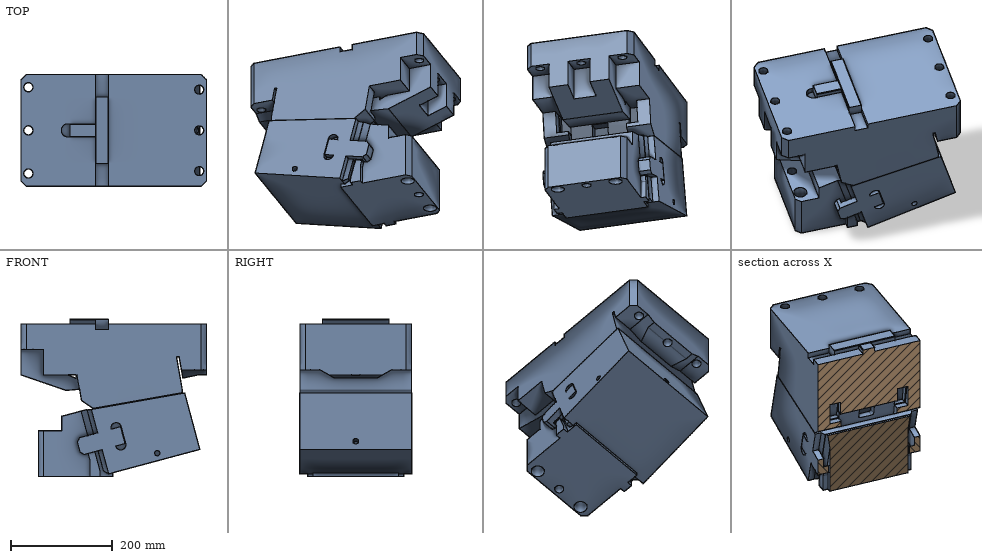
import cadquery as cq
import math


holder_tilt = math.radians(10)
slide_tilt = math.radians(15)
length = 365.0
holder_width = 219.7
plate_top = 300.0

corner_cut = 11.0
step_x, step_z = 45.0, 250.0
plate_bottom = 199.5
leg_x = 110.2
leg_knee_z = 149.3
sole_front_x, sole_front_z = 142.0, 133.5
sole_rear_x = 317.0
heel_cut = 5.5
slit_x, slit_top, slit_width = 306.0, 235.0, 4.7
rear_flank_z = 209.5
rear_rim = 40.0
flank_slope = math.radians(30)
rear_flat_x = 348.5
nose_width = 123.5
nose_low_x, nose_low_z = 89.0, 169.0
nose_end_x, nose_end_z = 138.7, 173.5
nose_slot_width, nose_slot_depth = 45.3, 39.0
window_front_x, window_rear_x, window_drop = 93.0, 108.0, 6.5
recess_depth = 20.0
recess_width = 119.7
recess_top = 171.5
pocket_width = 167.0
pocket_bottom = 156.5
pocket_wall = 2.2
pocket_step_depth = 11.0
spring_width, spring_bottom, spring_depth = 32.0, 144.5, 14.5
spring_corner = 4.0
hole_radius = 8.8
front_hole_x, front_hole_pitch = 15.0, 84.5
rear_hole_x, rear_hole_pitch = 350.0, 80.0

keyway_x, keyway_width, keyway_depth = 146.7, 26.0, 11.0
key_rise = 9.0
key_length = 130.5
key_bevel = 1.28
arm_front_x = 96.5
arm_slot_front_x = 79.5

slide_x, slide_z = 170.5, 4.7
slide_length = 187.5
slide_width = 220.0
cheek_thickness = 12.8
cheek_front = 2.2
core_front = -6.2
core_corner = 5.0
hook_front, hook_low, hook_high = -41.0, 49.3, 83.5
hook_bevel = 6.5
hook_lip_length, hook_lip_half = 12.8, 86.5
sole_gap = 0.7
cheek_slot_u, cheek_slot_radius = 39.8, 10.2
cheek_slot_gap = 1.5
cheek_hole_u, cheek_hole_v, cheek_hole_radius, cheek_hole_depth = 104.8, 14.5, 5.0, 14.5
rear_hole_v, slide_rear_hole_radius, slide_rear_hole_depth = 16.8, 5.5, 22.0

driver_x = 34.5
driver_width = 168.5
driver_corner = 10.0
ledge_x, ledge_z = 80.3, 90.0
brow_z = 118.5
rail_overhang = 7.0
foot_width = 189.0
rail_front = -18.2
foot_x, foot_end_x = 135.5, 180.5
foot_wide_x = 156.0
foot_front, foot_rear = -26.3, -12.8
bolt_x, bolt_pitch = 49.3, 59.5
bolt_radius, dowel_radius = 12.8, 8.8


def side_profile(points, width):
    """Extrude an X-Z outline evenly to both sides of Y = 0."""
    return cq.Workplane("XZ").polyline(points).close().extrude(width / 2, both=True)


def block(x0, x1, width, z0, z1):
    """Box centred on Y = 0."""
    box = cq.Workplane("XY").box(x1 - x0, width, z1 - z0, centered=(False, True, False))
    return box.translate((x0, 0, z0))


def slide_plane(y=0.0):
    """Tilted frame at the slide's lower front corner, facing -Y."""
    along = (math.cos(slide_tilt), 0, math.sin(slide_tilt))
    return cq.Workplane(cq.Plane(origin=(slide_x, y, slide_z), xDir=along, normal=(0, -1, 0)))


def slide_point(u, v):
    """X and Z of a point given along (u) and across (v) the slide tilt."""
    x = slide_x + u * math.cos(slide_tilt) - v * math.sin(slide_tilt)
    z = slide_z + u * math.sin(slide_tilt) + v * math.cos(slide_tilt)
    return x, z


def slide_uv(x, z):
    """Distances along (u) and across (v) the slide tilt of an X-Z point."""
    dx = x - slide_x
    dz = z - slide_z
    u = dx * math.cos(slide_tilt) + dz * math.sin(slide_tilt)
    v = dz * math.cos(slide_tilt) - dx * math.sin(slide_tilt)
    return u, v


def slide_cross_plane(v):
    """Frame across the slide at height v: local x runs along the tilt, local y along Y."""
    x, z = slide_point(0, v)
    along = (math.cos(slide_tilt), 0, math.sin(slide_tilt))
    upward = (-math.sin(slide_tilt), 0, math.cos(slide_tilt))
    return cq.Workplane(cq.Plane(origin=(x, 0, z), xDir=along, normal=upward))


def mirrored(shape):
    """The shape together with its mirror image across Y = 0."""
    return shape.union(shape.mirror("XZ"))


def holes(x, y_places, radius, z_top, depth):
    """Vertical holes going down from z_top."""
    places = [(x, y) for y in y_places]
    return cq.Workplane("XY", origin=(0, 0, z_top)).pushPoints(places).circle(radius).extrude(-depth)


def leg_front_x(z):
    """X of the tilted front of the leg at height z."""
    return leg_x + (plate_bottom - z) * math.tan(holder_tilt)


def slit_front_x(z):
    """X of the tilted front wall of the rear slit at height z."""
    return slit_x + (slit_top - z) * math.tan(holder_tilt)


def make_holder_body():
    sole_rear_z = sole_front_z + (sole_rear_x - sole_front_x) * math.tan(holder_tilt)
    heel_z = sole_rear_z + heel_cut
    rear_low_z = plate_bottom - (rear_flat_x - slit_front_x(plate_bottom)) * math.tan(holder_tilt)
    outline = [
        (0, plate_top),
        (0, step_z),
        (step_x, step_z),
        (step_x, plate_bottom),
        (leg_x, plate_bottom),
        (leg_front_x(leg_knee_z), leg_knee_z),
        (sole_front_x, sole_front_z),
        (sole_rear_x, sole_rear_z),
        (slit_front_x(heel_z), heel_z),
        (slit_x, slit_top),
        (slit_x + slit_width, slit_top),
        (slit_front_x(rear_low_z) + slit_width, rear_low_z),
        (rear_flat_x, plate_bottom),
        (length, plate_bottom),
        (length, plate_top),
    ]
    return side_profile(outline, holder_width)


def make_leg_recess():
    """Recesses in the tilted leg front, under and beside the nose."""
    def cutter(z_low, z_high, width, depth):
        return side_profile([
            (leg_x, z_high),
            (leg_x, z_low),
            (leg_front_x(z_low) + depth, z_low),
            (leg_front_x(z_high) + depth, z_high),
        ], width)

    low_recess = cutter(sole_front_z - sole_gap, recess_top, recess_width, recess_depth)
    pocket = cutter(pocket_bottom, plate_bottom, pocket_width, recess_depth)
    inner_width = pocket_width - 2 * pocket_wall
    inner_depth = recess_depth + pocket_step_depth
    inner_pocket = cutter(pocket_bottom + pocket_wall, plate_bottom, inner_width, inner_depth)
    inner_pocket = inner_pocket.cut(cutter(pocket_bottom, plate_bottom, recess_width, inner_depth))
    spring_front = leg_front_x(spring_bottom)
    spring_rear = spring_front + recess_depth + spring_depth
    spring_pocket = block(spring_front, spring_rear, spring_width, spring_bottom, recess_top)
    spring_pocket = spring_pocket.edges("|X and <Z").fillet(spring_corner)
    return low_recess.union(pocket).union(inner_pocket).union(spring_pocket)


def make_nose():
    """Forked nose under the front end, with a small window behind it."""
    nose = side_profile([
        (0, step_z),
        (0, plate_bottom),
        (nose_low_x, nose_low_z),
        (nose_end_x, nose_end_z),
        (nose_end_x, plate_bottom),
        (step_x, step_z),
    ], nose_width)
    fork_slot = block(0, nose_slot_depth, nose_slot_width, nose_low_z, step_z)
    window = side_profile([
        (window_front_x, plate_bottom),
        (window_rear_x, plate_bottom),
        (window_rear_x, plate_bottom - window_drop),
    ], nose_width)
    return nose.cut(fork_slot).cut(window)


def make_rear_flank():
    """Cutter for one side of the rear underside: a level rim, then a slope."""
    drop = rear_flank_z - leg_knee_z
    edge_y = -holder_width / 2
    rim_y = edge_y + rear_rim
    wedge = cq.Workplane("YZ").polyline([
        (edge_y, rear_flank_z),
        (rim_y, rear_flank_z),
        (rim_y + drop / math.tan(flank_slope), leg_knee_z),
        (edge_y, leg_knee_z),
    ]).close().extrude(length)
    middle_x = slit_width / 2
    behind_slit = side_profile([
        (slit_front_x(leg_knee_z) + middle_x, leg_knee_z),
        (length, leg_knee_z),
        (length, rear_flank_z),
        (slit_front_x(rear_flank_z) + middle_x, rear_flank_z),
    ], holder_width)
    return wedge.intersect(behind_slit)


def make_keyway():
    """Cross groove in the top, with a round-ended slot for the key's arm."""
    floor_z = plate_top - keyway_depth
    groove = block(keyway_x, keyway_x + keyway_width, holder_width, floor_z, plate_top)
    end_radius = keyway_width / 2
    end_x = arm_slot_front_x + end_radius
    arm_slot = block(end_x, keyway_x, keyway_width, floor_z, plate_top)
    round_end = holes(end_x, (0,), end_radius, plate_top, keyway_depth)
    return groove.union(arm_slot).union(round_end)


def make_key():
    """Locating key: a cross bar in the keyway and an arm towards the front."""
    floor_z = plate_top - keyway_depth
    top_z = plate_top + key_rise
    bar = block(keyway_x, keyway_x + keyway_width, key_length, floor_z, top_z)
    bar = bar.edges("|Y and >Z").chamfer(key_bevel)
    arm = block(arm_front_x, keyway_x, keyway_width, floor_z, top_z)
    arm = arm.edges("|X and >Z").chamfer(key_bevel)
    return bar.union(arm)


def make_holder():
    holder = make_holder_body().edges("|Z and (<X or >X)").chamfer(corner_cut)
    holder = holder.cut(mirrored(make_rear_flank()))
    holder = holder.cut(make_leg_recess()).union(make_nose())
    holder = holder.cut(make_keyway()).union(make_key())
    for x, pitch in ((front_hole_x, front_hole_pitch), (rear_hole_x, rear_hole_pitch)):
        holder = holder.cut(holes(x, (-pitch, 0, pitch), hole_radius, plate_top, plate_top))
    return holder


def slide_top_v(u):
    """Height of the slide's top across its tilt at u, just under the holder's sole."""
    sole_u, sole_v = slide_uv(sole_front_x, sole_front_z)
    return sole_v - sole_gap - (u - sole_u) * math.tan(slide_tilt - holder_tilt)


def make_core():
    inner_width = slide_width - 2 * cheek_thickness
    bevel = cheek_front - core_front
    core = slide_plane().polyline([
        (core_front, bevel),
        (core_front + bevel, 0),
        (slide_length, 0),
        (slide_length, slide_top_v(slide_length)),
        (core_front, slide_top_v(core_front)),
    ]).close().extrude(inner_width / 2, both=True)
    edge_y = -inner_width / 2
    corner = slide_cross_plane(0).polyline([
        (core_front, edge_y),
        (cheek_front, edge_y),
        (core_front, edge_y + core_corner),
    ]).close().extrude(slide_top_v(core_front))
    return core.cut(mirrored(corner))


def make_cheek():
    """Side plate with its hook, on the -Y side."""
    outer_face = slide_plane(-slide_width / 2)
    hook_nose = [
        (hook_front + hook_bevel, hook_high),
        (hook_front, hook_high - hook_bevel),
        (hook_front, hook_low + hook_bevel),
        (hook_front + hook_bevel, hook_low),
    ]
    cheek = outer_face.polyline([
        (cheek_front, 0),
        (slide_length, 0),
        (slide_length, slide_top_v(slide_length)),
        (cheek_front, slide_top_v(cheek_front)),
        (cheek_front, hook_high),
        *hook_nose,
        (cheek_front, hook_low),
    ]).close().extrude(-cheek_thickness)
    lip_end = hook_front + hook_lip_length
    lip = outer_face.polyline([
        (lip_end, hook_low),
        (lip_end, hook_high),
        *hook_nose,
    ]).close().extrude(-(slide_width / 2 - hook_lip_half))
    return cheek.union(lip)


def make_cheek_cuts():
    """Slot around the hook's root and a small hole, on the -Y side."""
    face = slide_plane(-slide_width / 2)
    hook_middle = (hook_low + hook_high) / 2
    hook_height = hook_high - hook_low
    slot = face.center(cheek_slot_u, hook_middle).slot2D(
        hook_height + 2 * cheek_slot_radius, 2 * cheek_slot_radius, 90).extrude(-cheek_thickness)
    root_width = 2 * cheek_slot_radius - cheek_slot_gap
    root = face.center(cheek_slot_u - cheek_slot_gap / 2, hook_middle).rect(
        root_width, hook_height).extrude(-cheek_thickness)
    hole = face.center(cheek_hole_u, cheek_hole_v).circle(cheek_hole_radius).extrude(-cheek_hole_depth)
    return slot.cut(root).union(hole)


def make_slide():
    slide = make_core().union(mirrored(make_cheek()))
    slide = slide.cut(mirrored(make_cheek_cuts()))
    hole_x, hole_z = slide_point(slide_length, rear_hole_v)
    outward = (math.cos(slide_tilt), 0, math.sin(slide_tilt))
    rear_face = cq.Workplane(cq.Plane(origin=(hole_x, 0, hole_z), xDir=(0, 1, 0), normal=outward))
    return slide.cut(rear_face.circle(slide_rear_hole_radius).extrude(-slide_rear_hole_depth))


def driver_top_v():
    """Height of the driver's sloping top, measured across the tilt."""
    return slide_uv(ledge_x, brow_z)[1]


def make_driver_body():
    top_v = driver_top_v()
    body = side_profile([
        (driver_x, 0),
        (foot_end_x, 0),
        (foot_end_x, slide_z + (foot_end_x - slide_x) * math.tan(slide_tilt)),
        slide_point(cheek_front, 0),
        slide_point(core_front, cheek_front - core_front),
        slide_point(core_front, top_v),
        (ledge_x, brow_z),
        (ledge_x, ledge_z),
        (driver_x, ledge_z),
    ], driver_width)
    return body.edges("|Z and <X").chamfer(driver_corner)


def make_rail():
    """Flared rail that the hooks reach around."""
    body_half = driver_width / 2
    rail_half = body_half + rail_overhang
    return slide_cross_plane(hook_low).polyline([
        (rail_front, -body_half),
        (core_front, -rail_half),
        (core_front, rail_half),
        (rail_front, body_half),
    ]).close().extrude(driver_top_v() - hook_low)


def make_foot():
    """Wide foot under the hooks and the front of the slide."""
    def foot_v(u, x):
        """Distance across the tilt at which a line of constant u reaches x."""
        return (slide_x + u * math.cos(slide_tilt) - x) / math.sin(slide_tilt)

    return side_profile([
        (foot_x, 0),
        (foot_wide_x, 0),
        slide_point(foot_rear, foot_v(foot_rear, foot_wide_x)),
        slide_point(foot_rear, hook_low),
        slide_point(foot_front, hook_low),
        slide_point(foot_front, foot_v(foot_front, foot_x)),
    ], foot_width)


def make_driver():
    driver = make_driver_body().union(make_rail()).union(make_foot())
    bolts = holes(bolt_x, (-bolt_pitch, bolt_pitch), bolt_radius, ledge_z, ledge_z)
    dowel = holes(bolt_x, (0,), dowel_radius, ledge_z, ledge_z)
    return driver.cut(bolts).cut(dowel)


holder = make_holder()
slide = make_slide()
driver = make_driver()
result = cq.Compound.makeCompound([holder.val(), slide.val(), driver.val()])